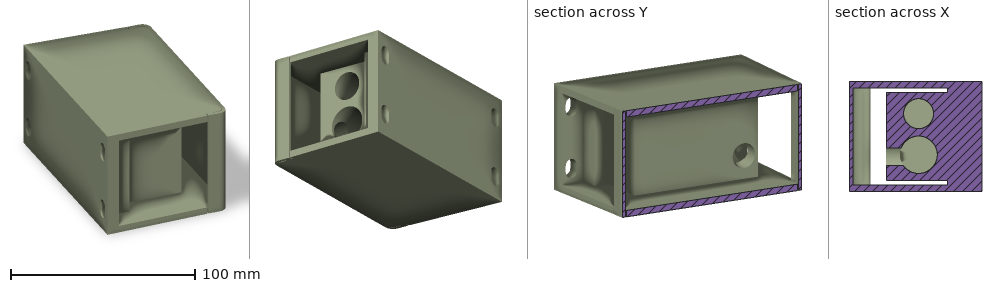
import cadquery as cq
import math

length = 118.0
depth = 72.0
height = 60.0
half_length = length / 2

front_wall = 7.0
plate = 3.9
cavity_height = height - 2 * plate

sheet = 2.0
corner_radius = 5.0
inner_radius = corner_radius - sheet
arm_inset = 2.1
arm_end_y = 60.3
arm_outer_x = half_length - arm_inset
arm_inner_x = arm_outer_x - sheet
back_inner_y = depth - sheet

lip_radius = sheet
lip_tip_x = arm_inner_x - 1.0
lip_tip_y = arm_end_y + 1.2
lip_arc_width = math.sqrt(lip_radius**2 - (lip_radius - (lip_tip_y - arm_end_y)) ** 2)
lip_back_y = arm_end_y + 3.8

slit_width = 0.6
slit_depth = 2.6
corner_gap = 0.5
corner_gap_start_y = lip_back_y

slot_width = 7.0
slot_height = 10.6
slot_x = half_length - 6.7
slot_z = height / 2 - 12.6

carrier_half_length = half_length - 14.2
carrier_back_y = 19.0
block_half_length = half_length - 20.1
block_back_y = 51.9
block_height = 47.9

bore_y = 34.5
bore_depth = 28.3
large_bore_diameter = 20.1
large_bore_z = 20.1
small_bore_diameter = 16.0
small_bore_z = 42.4
cross_bore_diameter = 14.0
cross_bore_z = 19.0
cross_bore_x = -half_length + 29.0


def both_ends(solid):
    """Join a right-hand feature with its mirror image on the left."""
    return solid.union(solid.mirror("YZ"))


def housing_body():
    """Tapered body with rounded rear corners."""
    outline = (
        cq.Workplane("XY")
        .moveTo(-half_length, 0)
        .lineTo(half_length, 0)
        .lineTo(arm_outer_x, arm_end_y)
        .lineTo(arm_outer_x, depth)
        .lineTo(-arm_outer_x, depth)
        .lineTo(-arm_outer_x, arm_end_y)
        .close()
    )
    return outline.extrude(height).edges("|Z and >Y").fillet(corner_radius)


def cavity():
    """Window open at both ends, and the recess between the arms behind it."""
    window = cq.Workplane("XY").box(
        length, lip_back_y - front_wall, cavity_height, centered=(True, False, False)
    ).translate((0, front_wall, plate))
    rear = cq.Workplane("XY").box(
        2 * arm_inner_x, back_inner_y - front_wall, cavity_height, centered=(True, False, False)
    ).edges("|Z and >Y").fillet(inner_radius).translate((0, front_wall, plate))
    return window.union(rear)


def arm_lips():
    """Lipped arm ends, closing the window from its rear edge to the arm end."""
    lip = (
        cq.Workplane("XY", origin=(0, 0, plate))
        .moveTo(arm_inner_x, lip_back_y)
        .lineTo(lip_tip_x, lip_tip_y)
        .radiusArc((lip_tip_x + lip_arc_width, arm_end_y), -lip_radius)
        .lineTo(arm_outer_x, arm_end_y)
        .lineTo(arm_outer_x, lip_back_y)
        .close()
        .extrude(cavity_height)
    )
    return both_ends(lip)


def cover_slits():
    """Narrow slits separating the arm ends from the plates."""
    slit = cq.Workplane("XY").box(
        slit_depth + arm_inset, slit_width, height, centered=False
    ).translate((arm_outer_x - slit_depth, arm_end_y - slit_width, 0))
    return both_ends(slit)


def corner_gaps():
    """Crescent gaps between the plate corners and the bent sheet."""
    def corner_profile(side_x):
        return (
            cq.Workplane("XY")
            .moveTo(0, corner_gap_start_y)
            .lineTo(side_x, corner_gap_start_y)
            .lineTo(side_x, back_inner_y - inner_radius)
            .radiusArc((side_x - inner_radius, back_inner_y), -inner_radius)
            .lineTo(0, back_inner_y)
            .close()
            .extrude(height)
        )

    gap = corner_profile(arm_inner_x).cut(corner_profile(arm_inner_x - corner_gap))
    return both_ends(gap)


def mounting_slots():
    """Four upright slots through the front wall."""
    return (
        cq.Workplane("XZ", origin=(0, 0, height / 2))
        .rect(2 * slot_x, 2 * slot_z, forConstruction=True)
        .vertices()
        .slot2D(slot_height, slot_width, 90)
        .extrude(-front_wall)
    )


def inner_block():
    """Carrier bar and bored block fixed to the inside of the front wall."""
    carrier = cq.Workplane("XY").box(
        2 * carrier_half_length, carrier_back_y - front_wall, cavity_height, centered=(True, False, True)
    ).translate((0, front_wall, height / 2))
    block = cq.Workplane("XY").box(
        2 * block_half_length, block_back_y - carrier_back_y, block_height, centered=(True, False, True)
    ).translate((0, carrier_back_y, height / 2))
    for bore_z, diameter in (
        (large_bore_z, large_bore_diameter),
        (small_bore_z, small_bore_diameter),
    ):
        bore = (
            cq.Workplane("YZ", origin=(-block_half_length, bore_y, bore_z))
            .circle(diameter / 2)
            .extrude(bore_depth)
        )
        block = block.cut(bore)
    cross_bore = (
        cq.Workplane("XZ", origin=(cross_bore_x, bore_y, cross_bore_z))
        .circle(cross_bore_diameter / 2)
        .extrude(-(block_back_y - bore_y))
    )
    return carrier.union(block.cut(cross_bore))


result = (
    housing_body()
    .cut(cavity())
    .union(arm_lips())
    .cut(cover_slits())
    .cut(corner_gaps())
    .cut(mounting_slots())
    .union(inner_block())
)